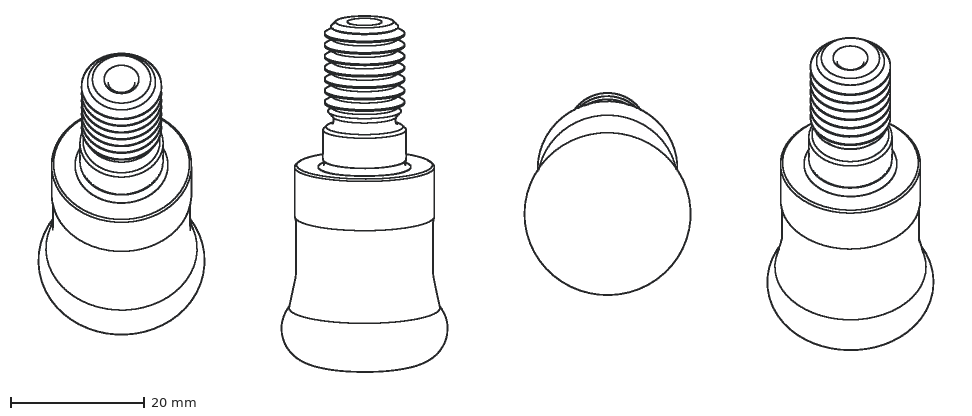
import cadquery as cq
import math

TOTAL_LENGTH = 52.0

CUTTER_DIAMETER = 24.95
RIM_RADIUS = 5.0
JOINT_RADIUS = 11.35
rim_center_radius = CUTTER_DIAMETER / 2 - RIM_RADIUS
rim_center_z = RIM_RADIUS
joint_z = rim_center_z + math.sqrt(RIM_RADIUS**2 - (JOINT_RADIUS - rim_center_radius) ** 2)

BODY_RADIUS = 20.6 / 2
SKIRT_TOP_RADIUS = 10.4
SKIRT_TOP_Z = 12.65
BODY_BOTTOM_Z = 13.4
BODY_TOP_Z = 21.25
FLANGE_RADIUS = 21.0 / 2
FLANGE_BOTTOM_Z = 21.9
FLANGE_TOP_Z = 30.05
FLANGE_CHAMFER = 0.3
FLANGE_UNDERSIDE_RADIUS = 10.4

DISH_RADIUS = 7.95
DISH_DEPTH = 0.25
GROOVE_OUTER_RADIUS = 6.95
GROOVE_INNER_RADIUS = 6.55
GROOVE_DEPTH = 0.3
GROOVE_ROUND = 0.45
groove_z = FLANGE_TOP_Z - GROOVE_DEPTH

PILOT_RADIUS = 6.25
PILOT_BOTTOM_Z = 30.85
PILOT_TOP_Z = 35.45
PILOT_CHAMFER = 0.45
pilot_neck_radius = GROOVE_INNER_RADIUS - GROOVE_ROUND

THREAD_CREST_RADIUS = 12.0 / 2
THREAD_ROOT_RADIUS = 9.5 / 2
CREST_FLAT = 0.22
RING_COUNT = 7
TOP_CREST_Z = 50.15
BOTTOM_CREST_Z = 39.65
pitch = (TOP_CREST_Z - BOTTOM_CREST_Z) / (RING_COUNT - 1)
RUNOUT_RADIUS = 5.5
RUNOUT_Z = 38.3
RUNOUT_BOTTOM_Z = 37.5
RUNOUT_NECK_RADIUS = 4.7
RUNOUT_NECK_TOP_Z = 37.0
RUNOUT_ROUND = 0.85

TIP_RADIUS = 4.35
TIP_CHAMFER = 0.75

HOLE_RADIUS = 4.0 / 2
MOUTH_RADIUS = 2.6
MOUTH_DEPTH = 0.9
HOLE_DEPTH = 10.4
POINT_ANGLE = 120.0


def revolve_profile(profile):
    """Turn a closed (radius, z) outline about the Z axis."""
    return profile.close().revolve(360, (0, 0, 0), (0, 1, 0))


def arc_point(center_radius, center_z, radius, angle):
    """Point on an arc, with the angle in degrees from the outward direction."""
    turn = math.radians(angle)
    return center_radius + radius * math.cos(turn), center_z + radius * math.sin(turn)


def make_cutter():
    rim_middle = arc_point(rim_center_radius, rim_center_z, RIM_RADIUS, -20)
    profile = (
        cq.Workplane("XZ")
        .lineTo(rim_center_radius, 0)
        .threePointArc(rim_middle, (JOINT_RADIUS, joint_z))
        .lineTo(0, joint_z)
    )
    return revolve_profile(profile)


def add_body(profile):
    """Skirt, cylinder and flange, up to the outer edge of the dish."""
    return (
        profile.lineTo(JOINT_RADIUS, joint_z)
        .lineTo(SKIRT_TOP_RADIUS, SKIRT_TOP_Z)
        .lineTo(BODY_RADIUS, BODY_BOTTOM_Z)
        .lineTo(BODY_RADIUS, BODY_TOP_Z)
        .lineTo(FLANGE_UNDERSIDE_RADIUS, FLANGE_BOTTOM_Z)
        .lineTo(FLANGE_RADIUS, FLANGE_BOTTOM_Z + FLANGE_CHAMFER)
        .lineTo(FLANGE_RADIUS, FLANGE_TOP_Z - FLANGE_CHAMFER)
        .lineTo(FLANGE_RADIUS - FLANGE_CHAMFER, FLANGE_TOP_Z)
        .lineTo(DISH_RADIUS, FLANGE_TOP_Z)
    )


def add_pilot(profile):
    """Dish, relief groove and pilot, up to the top of the runout groove."""
    groove_round_middle = arc_point(GROOVE_INNER_RADIUS, groove_z + GROOVE_ROUND, GROOVE_ROUND, 225)
    runout_center_radius = RUNOUT_NECK_RADIUS + RUNOUT_ROUND
    pilot_edge_z = PILOT_TOP_Z + PILOT_CHAMFER
    runout_center_z = pilot_edge_z + RUNOUT_ROUND
    runout_round_middle = arc_point(runout_center_radius, runout_center_z, RUNOUT_ROUND, 225)
    return (
        profile.lineTo(GROOVE_OUTER_RADIUS, FLANGE_TOP_Z - DISH_DEPTH)
        .lineTo(GROOVE_OUTER_RADIUS, groove_z)
        .lineTo(GROOVE_INNER_RADIUS, groove_z)
        .threePointArc(groove_round_middle, (pilot_neck_radius, groove_z + GROOVE_ROUND))
        .lineTo(pilot_neck_radius, PILOT_BOTTOM_Z)
        .lineTo(PILOT_RADIUS, PILOT_BOTTOM_Z)
        .lineTo(PILOT_RADIUS, PILOT_TOP_Z)
        .lineTo(PILOT_RADIUS - PILOT_CHAMFER, pilot_edge_z)
        .lineTo(runout_center_radius, pilot_edge_z)
        .threePointArc(runout_round_middle, (RUNOUT_NECK_RADIUS, runout_center_z))
        .lineTo(RUNOUT_NECK_RADIUS, RUNOUT_NECK_TOP_Z)
        .lineTo(THREAD_ROOT_RADIUS, RUNOUT_BOTTOM_Z)
    )


def add_thread(profile):
    """Low first ring, full thread rings, then the chamfered tip."""
    profile = profile.lineTo(RUNOUT_RADIUS, RUNOUT_Z)
    for ring in reversed(range(RING_COUNT)):
        crest_z = TOP_CREST_Z - ring * pitch
        profile = (
            profile.lineTo(THREAD_ROOT_RADIUS, crest_z - pitch / 2)
            .lineTo(THREAD_CREST_RADIUS, crest_z - CREST_FLAT / 2)
            .lineTo(THREAD_CREST_RADIUS, crest_z + CREST_FLAT / 2)
        )
    return (
        profile.lineTo(THREAD_ROOT_RADIUS, TOP_CREST_Z + pitch / 2)
        .lineTo(TIP_RADIUS + TIP_CHAMFER, TOTAL_LENGTH - TIP_CHAMFER)
        .lineTo(TIP_RADIUS, TOTAL_LENGTH)
    )


def make_center_hole():
    point_height = HOLE_RADIUS / math.tan(math.radians(POINT_ANGLE / 2))
    bore_bottom_z = TOTAL_LENGTH - HOLE_DEPTH
    profile = (
        cq.Workplane("XZ")
        .moveTo(0, bore_bottom_z - point_height)
        .lineTo(HOLE_RADIUS, bore_bottom_z)
        .lineTo(HOLE_RADIUS, TOTAL_LENGTH - MOUTH_DEPTH)
        .tangentArcPoint((MOUTH_RADIUS, TOTAL_LENGTH), relative=False)
        .lineTo(0, TOTAL_LENGTH)
    )
    return revolve_profile(profile)


def make_holder():
    profile = cq.Workplane("XZ").moveTo(0, joint_z)
    profile = add_body(profile)
    profile = add_pilot(profile)
    profile = add_thread(profile)
    blank = revolve_profile(profile.lineTo(0, TOTAL_LENGTH))
    return blank.cut(make_center_hole())


cutter = make_cutter()
holder = make_holder()
result = cq.Compound.makeCompound([holder.val(), cutter.val()])